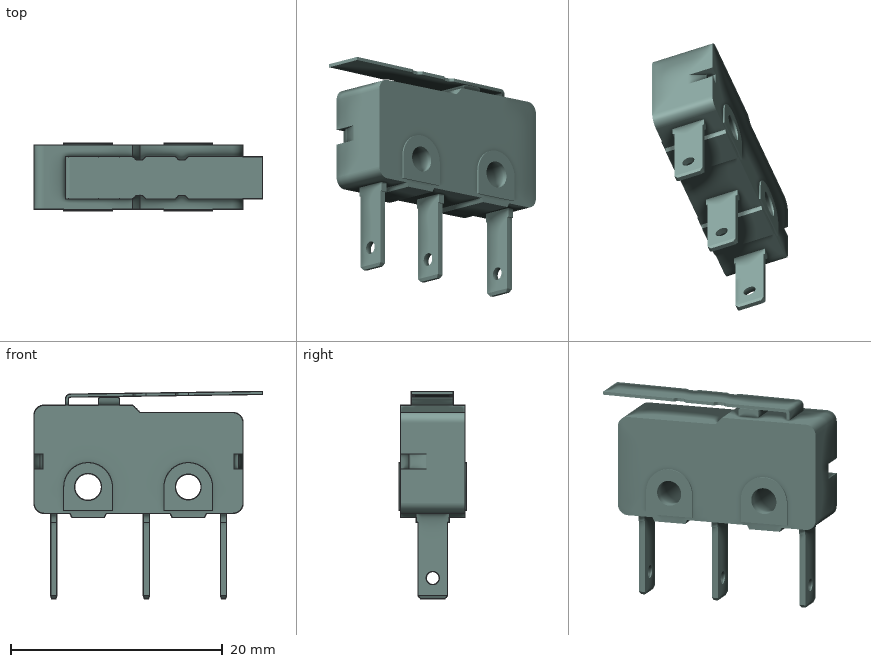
import cadquery as cq


body_length = 19.77
body_thickness = 6.1
body_height = 10.25
step_drop = 0.7
step_x = 9.34
corner_radius = 1.0

embed = 0.43

mount_xs = (5.12, 14.59)
mount_hole_diameters = (2.5, 2.4)
mount_z = 2.5
pad_width = 4.6
pad_bottom = 0.3
outer_thickness = 6.4
foot_top_width = 3.44
foot_bottom_width = 3.07
foot_height = 0.39

notch_bottom = 4.2
notch_top = 5.65
notch_depth = 0.86
notch_shelf_y = -2.25
ramp_low_y = -2.03
ramp_high_y = -0.63
left_ramp_depth = 0.56
right_ramp_depth = 0.43

terminal_xs = (1.88, 10.63, 17.91)
terminal_thickness = 0.6
terminal_width = 2.83
terminal_tip = -8.05
shoulder_width = 3.15
shoulder_length = 0.85
tip_height = 0.3
tip_side_taper = 0.28
tip_face_taper = 0.1
terminal_hole_diameter = 1.2
terminal_hole_z = -6.1

button_left = 6.1
button_right = 8.1
button_top = 11.0
button_edge_radius = 0.22

lever_left = 2.98
lever_right = 21.6
lever_thickness = 0.3
lever_width = 4.0
lever_centre_y = -0.055
lever_bend_top = 11.28
lever_tip_top = 11.55
lever_bend_radius = 0.48
lever_notch_xs = (9.96, 13.98)
lever_notch_depth = 0.32
lever_notch_mouth = 1.23
lever_notch_floor = 0.58
lever_notch_radius = 0.22


def prism_xz(outline, thickness, centre_y=0.0):
    """Extrude a closed XZ outline, centred on centre_y along Y."""
    return outline.extrude(thickness / 2, both=True).translate((0, centre_y, 0))


def make_housing():
    low_top = body_height - step_drop
    outline = cq.Workplane("XZ").polyline([
        (0, 0),
        (body_length, 0),
        (body_length, low_top),
        (step_x + step_drop, low_top),
        (step_x, body_height),
        (0, body_height),
    ]).close()
    housing = prism_xz(outline, body_thickness)
    return housing.edges("|Y and (<X or >X)").fillet(corner_radius)


def make_pad(x):
    half = pad_width / 2
    outline = (
        cq.Workplane("XZ")
        .moveTo(x - half, pad_bottom)
        .lineTo(x + half, pad_bottom)
        .lineTo(x + half, mount_z)
        .threePointArc((x, mount_z + half), (x - half, mount_z))
        .close()
    )
    return prism_xz(outline, outer_thickness)


def make_foot(x):
    outline = cq.Workplane("XZ").polyline([
        (x - foot_top_width / 2, embed),
        (x - foot_top_width / 2, 0),
        (x - foot_bottom_width / 2, -foot_height),
        (x + foot_bottom_width / 2, -foot_height),
        (x + foot_top_width / 2, 0),
        (x + foot_top_width / 2, embed),
    ]).close()
    return prism_xz(outline, body_thickness)


def make_mount_hole(x, diameter):
    outline = cq.Workplane("XZ").center(x, mount_z).circle(diameter / 2)
    return prism_xz(outline, outer_thickness)


def make_end_notch(end_x, inward, ramp_depth):
    """Notch open to the front face and one end; inward is +1 or -1 along X."""
    front_y = -body_thickness / 2
    floor_x = end_x + inward * notch_depth
    ramp_x = end_x + inward * ramp_depth
    return (
        cq.Workplane("XY", origin=(0, 0, notch_bottom))
        .polyline([
            (end_x, front_y),
            (floor_x, front_y),
            (floor_x, notch_shelf_y),
            (ramp_x, notch_shelf_y),
            (ramp_x, ramp_low_y),
            (end_x, ramp_high_y),
        ])
        .close()
        .extrude(notch_top - notch_bottom)
    )


def make_terminal(x):
    blade_bottom = terminal_tip + tip_height
    blade = cq.Workplane("XY").box(
        terminal_thickness, terminal_width, embed - blade_bottom, centered=(True, True, False)
    ).translate((x, 0, blade_bottom))
    shoulder = cq.Workplane("XY").box(
        terminal_thickness, shoulder_width, embed + shoulder_length, centered=(True, True, False)
    ).translate((x, 0, -shoulder_length))
    tip = (
        cq.Workplane("XY", origin=(x, 0, blade_bottom))
        .rect(terminal_thickness, terminal_width)
        .workplane(offset=-tip_height)
        .rect(terminal_thickness - 2 * tip_face_taper, terminal_width - 2 * tip_side_taper)
        .loft(ruled=True)
    )
    hole = (
        cq.Workplane("YZ", origin=(x, 0, terminal_hole_z))
        .circle(terminal_hole_diameter / 2)
        .extrude(terminal_thickness, both=True)
    )
    return blade.union(shoulder).union(tip).cut(hole)


def make_button():
    """Button under the lever arm, as wide as the lever, with rounded upper edges."""
    base = body_height - embed
    button = cq.Workplane("XY").box(
        button_right - button_left, lever_width, button_top - base, centered=False
    ).translate((button_left, lever_centre_y - lever_width / 2, base))
    return button.edges("|Y and >Z").fillet(button_edge_radius)


def make_lever_notch(x, side):
    """Sloping-sided notch with rounded floor corners; side is +1 (back edge) or -1 (front)."""
    edge_y = lever_centre_y + side * lever_width / 2
    floor_y = edge_y - side * lever_notch_depth
    notch = (
        cq.Workplane("XY", origin=(0, 0, body_height))
        .polyline([
            (x - lever_notch_mouth / 2, edge_y),
            (x - lever_notch_floor / 2, floor_y),
            (x + lever_notch_floor / 2, floor_y),
            (x + lever_notch_mouth / 2, edge_y),
        ])
        .close()
        .extrude(lever_tip_top - body_height)
    )
    floor_edges = "|Z and <Y" if side > 0 else "|Z and >Y"
    return notch.edges(floor_edges).fillet(lever_notch_radius)


def make_lever():
    """Bent strip: a leg standing in the housing and an arm rising gently to its tip."""
    root = body_height - embed
    inner_x = lever_left + lever_thickness
    outline = cq.Workplane("XZ").polyline([
        (lever_left, root),
        (inner_x, root),
        (inner_x, lever_bend_top - lever_thickness),
        (lever_right, lever_tip_top - lever_thickness),
        (lever_right, lever_tip_top),
        (lever_left, lever_bend_top),
    ]).close()
    lever = prism_xz(outline, lever_width, lever_centre_y)
    outer_corner = (lever_left, lever_centre_y, lever_bend_top)
    inner_corner = (inner_x, lever_centre_y, lever_bend_top - lever_thickness)
    nearest = cq.selectors.NearestToPointSelector
    lever = lever.edges(nearest(outer_corner)).fillet(lever_bend_radius)
    lever = lever.edges(nearest(inner_corner)).fillet(lever_bend_radius - lever_thickness)
    for x in lever_notch_xs:
        for side in (-1, 1):
            lever = lever.cut(make_lever_notch(x, side))
    return lever


result = make_housing()
for mount_x, hole_diameter in zip(mount_xs, mount_hole_diameters):
    result = result.union(make_pad(mount_x)).union(make_foot(mount_x))
    result = result.cut(make_mount_hole(mount_x, hole_diameter))
result = result.cut(make_end_notch(0, 1, left_ramp_depth))
result = result.cut(make_end_notch(body_length, -1, right_ramp_depth))
for terminal_x in terminal_xs:
    result = result.union(make_terminal(terminal_x))
result = result.union(make_button()).union(make_lever())